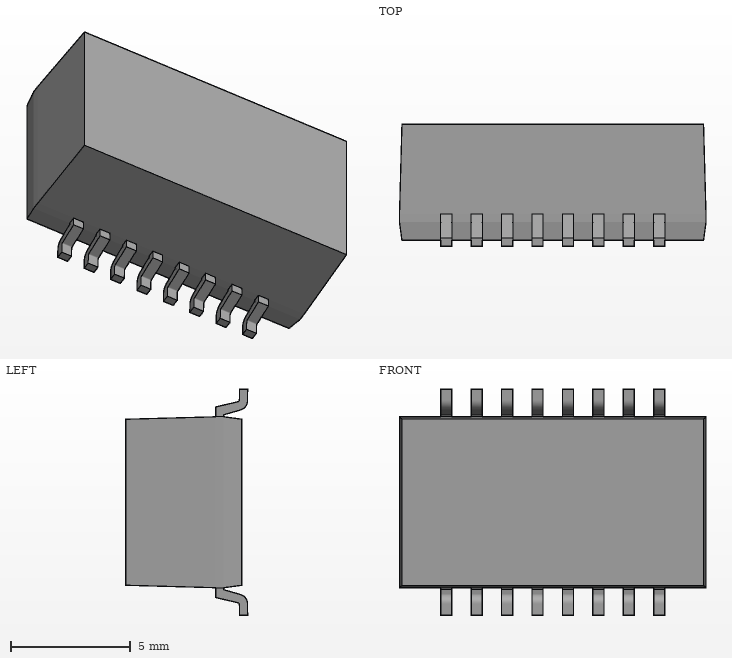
import cadquery as cq

body_width = 12.8
body_height = 7.14
face_inset = 0.1
front_y = 0.24
band_front_y = 1.0
band_back_y = 1.35
back_y = 5.1

leads_per_row = 8
lead_row_length = 8.88
lead_pitch = lead_row_length / (leads_per_row - 1)
lead_width = 0.47
lead_tip_z = 4.72
foot_thickness = 0.35
foot_lean = 0.01
foot_root_z = 4.21
shoulder_z = 3.98
armpit_z = 3.65
heel_z = 3.93
foot_root_radius = 0.06
heel_radius = foot_thickness + foot_root_radius
lead_embed = 0.13


def tapered_block(start_y, start_size, end_y, end_size):
    """Block along Y that runs straight from one X-Z rectangle to another."""
    return (
        cq.Workplane("XZ", origin=(0, start_y, 0))
        .rect(*start_size)
        .workplane(offset=start_y - end_y)
        .rect(*end_size)
        .loft(ruled=True)
    )


def make_body():
    outline = (body_width, body_height)
    face = (body_width - 2 * face_inset, body_height - 2 * face_inset)
    front = tapered_block(front_y, face, band_front_y, outline)
    band = tapered_block(band_front_y, outline, band_back_y, outline)
    back = tapered_block(band_back_y, outline, back_y, face)
    return front.union(band).union(back)


def make_lead():
    """One upper lead centred on X = 0: a stub out of the band, a sloping arm and an upright foot."""
    buried_z = body_height / 2 - lead_embed
    root_y = foot_thickness + foot_lean
    profile = [
        (band_back_y, buried_z),
        (band_back_y, shoulder_z),
        (root_y, foot_root_z),
        (foot_thickness, lead_tip_z),
        (0, lead_tip_z),
        (foot_lean, heel_z),
        (band_front_y, armpit_z),
        (band_front_y, buried_z),
    ]
    lead = (
        cq.Workplane("YZ")
        .polyline(profile)
        .close()
        .extrude(lead_width / 2, both=True)
    )
    heel = cq.selectors.NearestToPointSelector((0, foot_lean, heel_z))
    foot_root = cq.selectors.NearestToPointSelector((0, root_y, foot_root_z))
    return lead.edges(heel).fillet(heel_radius).edges(foot_root).fillet(foot_root_radius)


result = make_body()
upper_lead = make_lead()
lower_lead = upper_lead.mirror("XY")
for index in range(leads_per_row):
    lead_x = index * lead_pitch - lead_row_length / 2
    for lead in (upper_lead, lower_lead):
        result = result.union(lead.translate((lead_x, 0, 0)))